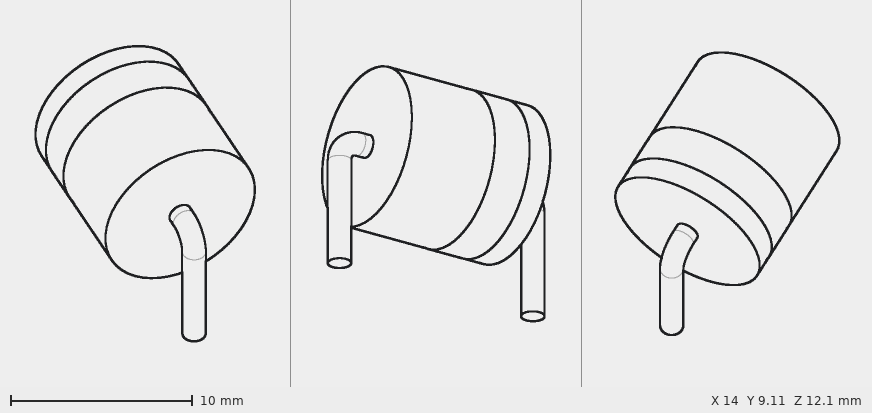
import cadquery as cq

overall_length = 14.0
overall_height = 12.11

body_length = 9.1
body_diameter = 9.1

band_diameter = 9.11
band_width = body_length / 4
band_offset = 1.37

wire_diameter = 1.3
bend_radius = wire_diameter
lead_x = (overall_length - wire_diameter) / 2
lead_bottom_z = band_diameter / 2 - overall_height


def cylinder_along_x(start_x, length, diameter):
    """Solid cylinder on the X axis, growing toward +X."""
    return cq.Workplane("YZ").workplane(offset=start_x).circle(diameter / 2).extrude(length)


def make_lead(side):
    """Wire leaving the body's end face and bending down; side is -1 or +1."""
    face_x = side * body_length / 2
    bend_start_x = side * (lead_x - bend_radius)
    path = (
        cq.Workplane("XZ")
        .moveTo(face_x, 0)
        .lineTo(bend_start_x, 0)
        .tangentArcPoint((side * lead_x, -bend_radius), relative=False)
        .lineTo(side * lead_x, lead_bottom_z)
    )
    section = cq.Workplane("YZ", origin=(face_x, 0, 0)).circle(wire_diameter / 2)
    return section.sweep(path)


body = cylinder_along_x(-body_length / 2, body_length, body_diameter)
band = cylinder_along_x(-body_length / 2 + band_offset, band_width, band_diameter)

result = body.union(band)
for side in (-1, 1):
    result = result.union(make_lead(side))